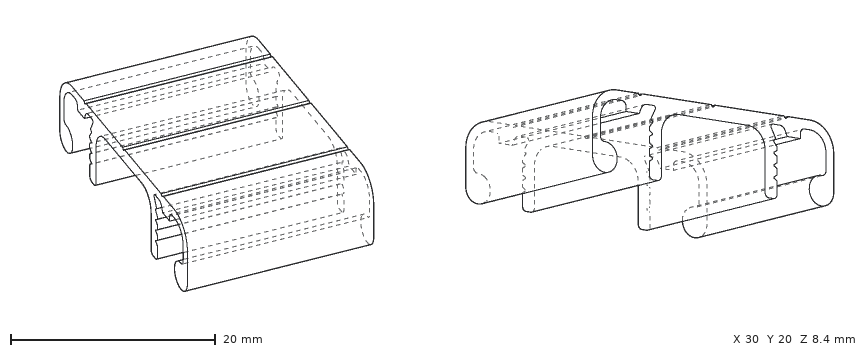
import cadquery as cq
import math

WIDTH = 30.0
LENGTH = 20.0
HEIGHT = 8.4

WALL = 1.0
OUTER_RADIUS = 3.0
BEAD_RADIUS = 1.53
BEAD_NECK_RADIUS = 0.48

TAB_OUTER_X = 10.83
TAB_INNER_X = 9.2
TAB_DROP = 1.02
TAB_OUTER_FILLET = 0.55
TAB_INNER_FILLET = 0.75
TAB_SLOPE = 65.0

LEG_OUTER_X = 7.95
LEG_THICKNESS = 1.5
LEG_TIP_RADIUS = 0.48
CHANNEL_DEPTH = 1.5
CHANNEL_RADIUS = 2.2

UNDERCUT_X = 7.02
UNDERCUT_RADIUS = 0.25
UNDERCUT_LIP_X = 7.77
UNDERCUT_LIP_DEPTH = 2.4
LIP_RADIUS = 0.05

GROOVE_COUNT = 4
FIRST_GROOVE_DEPTH = 2.6
GROOVE_PITCH = 1.23
GROOVE_CUT = 0.48
GROOVE_HALF_HEIGHT = 0.3
GROOVE_ROOT_RADIUS = 0.1
TOOTH_RADIUS = 0.2
FIRST_TOOTH_BEVEL = 0.6
FIRST_TOOTH_RADIUS = 0.3

NOTCH_X = 9.05
NOTCH_DEPTH = 0.25
NOTCH_HALF_WIDTH = 0.25
NOTCH_ROOT_RADIUS = 0.1


def rounded_outline(corners):
    """Closed XZ outline through (x, z, radius) corners; radius 0 stays sharp."""
    sketch = None
    for index, (x, z, radius) in enumerate(corners):
        corner = cq.Vector(x, z)
        before = cq.Vector(*corners[index - 1][:2])
        after = cq.Vector(*corners[(index + 1) % len(corners)][:2])
        to_before = (before - corner).normalized()
        to_after = (after - corner).normalized()
        half_angle = to_before.getAngle(to_after) / 2
        setback = radius / math.tan(half_angle)
        start = corner + to_before * setback
        if sketch is None:
            sketch = cq.Workplane("XZ").moveTo(start.x, start.y)
        else:
            sketch = sketch.lineTo(start.x, start.y)
        if radius > 0:
            end = corner + to_after * setback
            bisector = (to_before + to_after).normalized()
            middle = corner + bisector * (radius / math.sin(half_angle) - radius)
            sketch = sketch.threePointArc((middle.x, middle.y), (end.x, end.y))
    return sketch.close()


def serration_corners():
    """Corners of the grooves down the outer face of the left leg."""
    corners = []
    root_x = -LEG_OUTER_X + GROOVE_CUT
    for index in range(GROOVE_COUNT):
        z = -FIRST_GROOVE_DEPTH - index * GROOVE_PITCH
        if index > 0:
            corners.append((-LEG_OUTER_X, z + GROOVE_HALF_HEIGHT, TOOTH_RADIUS))
        corners.append((root_x, z, GROOVE_ROOT_RADIUS))
        if index == 0:
            corners.append((-LEG_OUTER_X, z - FIRST_TOOTH_BEVEL, FIRST_TOOTH_RADIUS))
        else:
            corners.append((-LEG_OUTER_X, z - GROOVE_HALF_HEIGHT, TOOTH_RADIUS))
    return corners


def left_half():
    """Left half of the rail, with its top face at Z = 0."""
    side_x = -WIDTH / 2
    bead_x = side_x + BEAD_RADIUS
    bead_z = -HEIGHT + BEAD_RADIUS
    wall_inner_x = side_x + WALL
    tab_z = -WALL - TAB_DROP
    tab_root_x = -TAB_INNER_X + TAB_DROP / math.tan(math.radians(TAB_SLOPE))
    leg_inner_x = -LEG_OUTER_X + LEG_THICKNESS

    corners = [
        (0, 0, 0),
        (side_x, 0, OUTER_RADIUS),
        (side_x, bead_z, 0),
        (bead_x, bead_z, 0),
        (bead_x, bead_z + BEAD_RADIUS, 0),
        (wall_inner_x, bead_z + BEAD_RADIUS, BEAD_NECK_RADIUS),
        (wall_inner_x, -WALL, OUTER_RADIUS - WALL),
        (-TAB_OUTER_X, -WALL, TAB_OUTER_FILLET),
        (-TAB_OUTER_X, tab_z, 0),
        (-TAB_INNER_X, tab_z, 0),
        (tab_root_x, -WALL, TAB_INNER_FILLET),
        (-UNDERCUT_X, -WALL, UNDERCUT_RADIUS),
        (-UNDERCUT_LIP_X, -UNDERCUT_LIP_DEPTH, LIP_RADIUS),
    ]
    corners += serration_corners()
    corners += [
        (-LEG_OUTER_X, -HEIGHT, LEG_TIP_RADIUS),
        (leg_inner_x, -HEIGHT, LEG_TIP_RADIUS),
        (leg_inner_x, -CHANNEL_DEPTH, CHANNEL_RADIUS),
        (0, -CHANNEL_DEPTH, 0),
    ]
    body = rounded_outline(corners).extrude(LENGTH / 2, both=True)
    bead = (
        cq.Workplane("XZ")
        .center(bead_x, bead_z)
        .circle(BEAD_RADIUS)
        .extrude(LENGTH / 2, both=True)
    )
    return body.union(bead)


def top_notch(x):
    """Cutter for one round-bottomed V line along the top face."""
    corners = [
        (x - NOTCH_HALF_WIDTH, 0, 0),
        (x, -NOTCH_DEPTH, NOTCH_ROOT_RADIUS),
        (x + NOTCH_HALF_WIDTH, 0, 0),
    ]
    return rounded_outline(corners).extrude(LENGTH / 2, both=True)


half = left_half()
rail = half.union(half.mirror("YZ")).clean()
for notch_x in (-NOTCH_X, 0, NOTCH_X):
    rail = rail.cut(top_notch(notch_x))

result = rail.translate((0, 0, HEIGHT / 2))